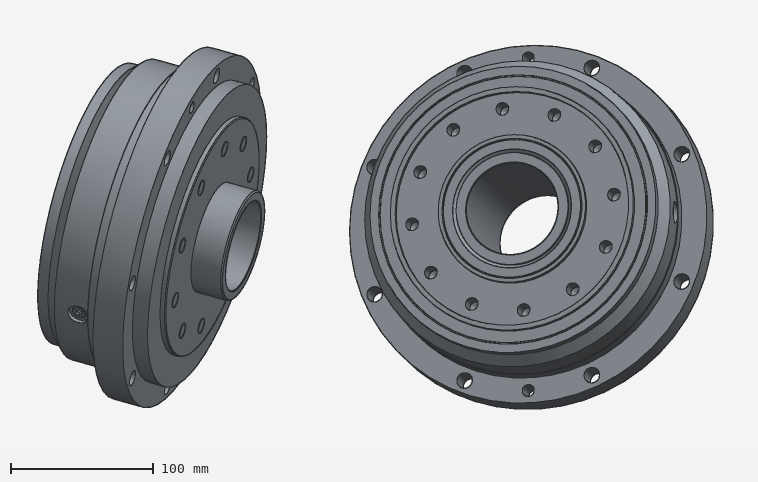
import cadquery as cq
import math

cover_face_x = 3.8
cover_end_x = 11.8
cone_end_x = 19.5
housing_joint_x = 44.8
flange_start_x = 56.3
flange_end_x = 78.8
pilot_end_x = 90.3
rear_plate_end_x = 94.5
shaft_end_x = 118.0

front_ring_diameter = 174.0
cover_diameter = 204.5
cone_diameter = 218.7
pilot_diameter = 220.0
flange_diameter = 255.8
shaft_diameter = 80.0
bore_diameter = 65.5
rear_plate_chamfer = 0.8
shaft_chamfer = 1.0
bore_chamfer = 0.5

front_ring_inner_diameter = 167.0
hub_collar_diameter = 105.5
hub_gap_diameter = 85.0
hub_gap_lip = 0.8
shaft_face_x = 0.5
cover_groove_diameters = (190.3, 192.3)
collar_groove_diameters = (98.2, 100.0)
seal_groove_depth = 0.5

flange_circle_diameter = 237.9
mounting_hole_diameter = 11.0
mounting_hole_count = 8
jack_hole_diameter = 8.5
jack_hole_count = 2
output_circle_diameter = 145.3
output_hole_diameter = 9.0
output_hole_count = 12
output_hole_start_angle = -6.0
output_hole_depth = 15.3
drill_point_angle = 118.0

rear_screw_circle_diameter = 139.1
rear_screw_head_diameter = 11.0
rear_screw_count = 10
rear_screw_head_height = 0.5

plug_x = 37.0
plug_seat_diameter = 15.0
plug_seat_depth = 3.0
plug_head_diameter = 10.5
plug_face_diameter = 9.0
plug_head_height = 0.8
plug_socket_width = 4.9
plug_socket_depth = 2.0


def tube(start_x, end_x, outer_diameter, inner_diameter):
    """Ring around X between two axial positions."""
    return (
        cq.Workplane("YZ", origin=(start_x, 0, 0))
        .circle(outer_diameter / 2)
        .circle(inner_diameter / 2)
        .extrude(end_x - start_x)
    )


def circle_points(circle_diameter, count, start_angle):
    """(Y, Z) points evenly spaced on a circle, angles in degrees from +Y."""
    points = []
    for index in range(count):
        angle = math.radians(start_angle + 360 * index / count)
        points.append((circle_diameter / 2 * math.cos(angle), circle_diameter / 2 * math.sin(angle)))
    return points


def rods(start_x, end_x, diameter, points):
    """Cylinders along X at the given (Y, Z) points."""
    return (
        cq.Workplane("YZ", origin=(start_x, 0, 0))
        .pushPoints(points)
        .circle(diameter / 2)
        .extrude(end_x - start_x)
    )


def turned_body():
    """Stepped outside, tapered gap around the front shaft end and through bore, revolved about X."""
    bore_radius = bore_diameter / 2
    gap_radius = hub_gap_diameter / 2
    gap_bottom_x = hub_gap_lip + gap_radius - shaft_diameter / 2
    ring_radius = front_ring_diameter / 2
    cover_radius = cover_diameter / 2
    cone_radius = cone_diameter / 2
    pilot_radius = pilot_diameter / 2
    flange_radius = flange_diameter / 2
    shaft_radius = shaft_diameter / 2
    outline = [
        (shaft_face_x, bore_radius + bore_chamfer),
        (shaft_face_x, shaft_radius),
        (gap_bottom_x, shaft_radius),
        (hub_gap_lip, gap_radius),
        (0, gap_radius),
        (0, ring_radius),
        (cover_face_x, ring_radius),
        (cover_face_x, cover_radius),
        (cover_end_x, cover_radius),
        (cone_end_x, cone_radius),
        (housing_joint_x, cone_radius),
        (housing_joint_x, pilot_radius),
        (flange_start_x, pilot_radius),
        (flange_start_x, flange_radius),
        (flange_end_x, flange_radius),
        (flange_end_x, pilot_radius),
        (pilot_end_x, pilot_radius),
        (pilot_end_x, ring_radius),
        (rear_plate_end_x - rear_plate_chamfer, ring_radius),
        (rear_plate_end_x, ring_radius - rear_plate_chamfer),
        (rear_plate_end_x, shaft_radius),
        (shaft_end_x - shaft_chamfer, shaft_radius),
        (shaft_end_x, shaft_radius - shaft_chamfer),
        (shaft_end_x, bore_radius + bore_chamfer),
        (shaft_end_x - bore_chamfer, bore_radius),
        (shaft_face_x + bore_chamfer, bore_radius),
    ]
    return cq.Workplane("XY").polyline(outline).close().revolve(360, (0, 0, 0), (1, 0, 0))


def front_relief():
    """Annular recess between front ring and hub collar, plus the two seal grooves."""
    recess = tube(0, cover_face_x, front_ring_inner_diameter, hub_collar_diameter)
    cover_inner, cover_outer = cover_groove_diameters
    cover_groove = tube(cover_face_x, cover_face_x + seal_groove_depth, cover_outer, cover_inner)
    collar_inner, collar_outer = collar_groove_diameters
    collar_groove = tube(0, seal_groove_depth, collar_outer, collar_inner)
    return recess.union(cover_groove).union(collar_groove)


def output_holes():
    """Blind holes with drill points in the floor of the front recess."""
    radius = output_hole_diameter / 2
    point_length = radius / math.tan(math.radians(drill_point_angle / 2))
    inward = cq.Vector(1, 0, 0)
    shank = cq.Solid.makeCylinder(radius, output_hole_depth, cq.Vector(0, 0, 0), inward)
    point = cq.Solid.makeCone(radius, 0, point_length, cq.Vector(output_hole_depth, 0, 0), inward)
    drill = shank.fuse(point)
    holes = cq.Workplane("XY")
    for y, z in circle_points(output_circle_diameter, output_hole_count, output_hole_start_angle):
        holes = holes.add(drill.translate(cq.Vector(cover_face_x, y, z)))
    return holes.combine()


def flange_holes():
    """Mounting holes and jack-screw holes through the flange."""
    mounting_points = circle_points(flange_circle_diameter, mounting_hole_count, 180 / mounting_hole_count)
    jack_points = circle_points(flange_circle_diameter, jack_hole_count, 90)
    mounting = rods(flange_start_x, flange_end_x, mounting_hole_diameter, mounting_points)
    return mounting.union(rods(flange_start_x, flange_end_x, jack_hole_diameter, jack_points))


def rear_screw_heads():
    """Low screw heads standing on the rear plate."""
    points = circle_points(rear_screw_circle_diameter, rear_screw_count, 0)
    return rods(pilot_end_x, rear_plate_end_x + rear_screw_head_height, rear_screw_head_diameter, points)


def plug_recess():
    """Seat around a chamfered plug head that has a hexagon socket with a drill point."""
    inward = cq.Vector(0, 1, 0)
    seat_start_y = -cone_diameter / 2
    seat_floor_y = seat_start_y + plug_seat_depth
    face_y = seat_floor_y - plug_head_height
    socket_floor_y = face_y + plug_socket_depth
    socket_radius = plug_socket_width / 2
    point_length = socket_radius / math.tan(math.radians(drill_point_angle / 2))

    seat_start = cq.Vector(plug_x, seat_start_y, 0)
    seat = cq.Solid.makeCylinder(plug_seat_diameter / 2, plug_seat_depth, seat_start, inward)
    face_start = cq.Vector(plug_x, face_y, 0)
    head = cq.Solid.makeCone(
        plug_face_diameter / 2, plug_head_diameter / 2, plug_head_height, face_start, inward
    )
    socket = (
        cq.Workplane("XZ", origin=(plug_x, face_y, 0))
        .polygon(6, plug_socket_width, circumscribed=True)
        .extrude(-plug_socket_depth)
    )
    point_start = cq.Vector(plug_x, socket_floor_y, 0)
    point = cq.Solid.makeCone(socket_radius, 0, point_length, point_start, inward)
    return cq.Workplane(seat).cut(cq.Workplane(head)).union(socket).union(cq.Workplane(point))


result = (
    turned_body()
    .cut(front_relief())
    .cut(output_holes())
    .cut(flange_holes())
    .cut(plug_recess())
    .union(rear_screw_heads())
)